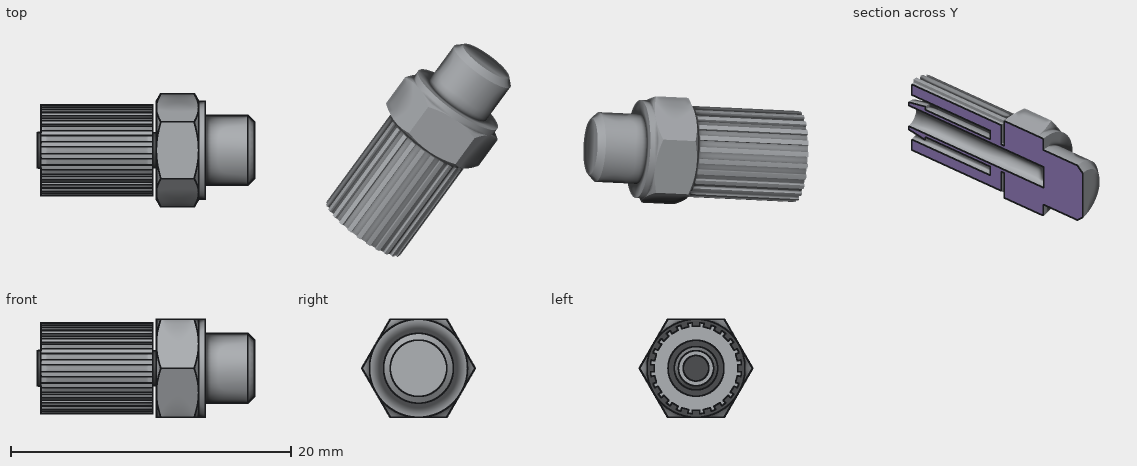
import cadquery as cq
import math

TOTAL_LENGTH = 15.5
NUT_START = 0.25
NUT_LENGTH = 8.0
NUT_END = NUT_START + NUT_LENGTH
HEX_START = 8.5
HEX_LENGTH = 3.0
HEX_END = HEX_START + HEX_LENGTH
COLLAR_LENGTH = 0.5
COLLAR_END = HEX_END + COLLAR_LENGTH

STEM_RADIUS = 1.25
BARB_RADIUS = 1.55
BARB_LENGTH = 1.5
STEM_BORE_RADIUS = 0.91

NUT_RADIUS = 3.25
NUT_BORE_RADIUS = 2.0
NUT_END_WALL = 1.0
GROOVE_COUNT = 24
GROOVE_WIDTH = 0.51
GROOVE_DEPTH = 0.26

HEX_SIDES = 6
HEX_ACROSS_FLATS = 7.0
HEX_CHAMFER_ANGLE = 30.0
COLLAR_RADIUS = HEX_ACROSS_FLATS / 2
THREAD_RADIUS = 2.5
THREAD_CHAMFER = 0.48


def x_cylinder(radius, start, end):
    """Solid cylinder on the X axis between two stations."""
    return cq.Workplane("YZ", origin=(start, 0, 0)).circle(radius).extrude(end - start)


def revolve_on_x(points):
    """Revolve an (x, radius) outline around the X axis."""
    return cq.Workplane("XY").polyline(points).close().revolve(360, (0, 0, 0), (1, 0, 0))


def make_stem():
    """Stem that widens over the barb, then drops back to its plain radius."""
    return revolve_on_x([
        (0, 0),
        (0, STEM_RADIUS),
        (BARB_LENGTH, BARB_RADIUS),
        (BARB_LENGTH, STEM_RADIUS),
        (HEX_START, STEM_RADIUS),
        (HEX_START, 0),
    ])


def make_nut():
    """Nut with lengthwise grooves, open at the hose end and closed by a wall at the other."""
    nut = x_cylinder(NUT_RADIUS, NUT_START, NUT_END)
    nut = nut.cut(x_cylinder(NUT_BORE_RADIUS, NUT_START, NUT_END - NUT_END_WALL))
    grooves = (
        cq.Workplane("YZ", origin=(NUT_START, 0, 0))
        .polarArray(NUT_RADIUS, 0, 360, GROOVE_COUNT)
        .rect(2 * GROOVE_DEPTH, GROOVE_WIDTH)
        .extrude(NUT_LENGTH)
    )
    return nut.cut(grooves)


def make_hex():
    """Hexagon with flats facing +Z and -Z, its corners chamfered at both ends."""
    flat_radius = HEX_ACROSS_FLATS / 2
    corner_radius = flat_radius / math.cos(math.pi / HEX_SIDES)
    chamfer_length = (corner_radius - flat_radius) * math.tan(math.radians(HEX_CHAMFER_ANGLE))
    prism = (
        cq.Workplane("YZ", origin=(HEX_START, 0, 0))
        .polygon(HEX_SIDES, 2 * corner_radius)
        .extrude(HEX_LENGTH)
    )
    chamfer_envelope = revolve_on_x([
        (HEX_START, 0),
        (HEX_START, flat_radius),
        (HEX_START + chamfer_length, corner_radius),
        (HEX_END - chamfer_length, corner_radius),
        (HEX_END, flat_radius),
        (HEX_END, 0),
    ])
    return prism.intersect(chamfer_envelope)


def make_threaded_end():
    """Plain cylinder at thread size with a chamfered tip."""
    return x_cylinder(THREAD_RADIUS, COLLAR_END, TOTAL_LENGTH).faces(">X").chamfer(THREAD_CHAMFER)


stem_bore = x_cylinder(STEM_BORE_RADIUS, 0, COLLAR_END)

result = (
    make_stem()
    .union(make_nut())
    .union(make_hex())
    .union(x_cylinder(COLLAR_RADIUS, HEX_END, COLLAR_END))
    .union(make_threaded_end())
    .cut(stem_bore)
)